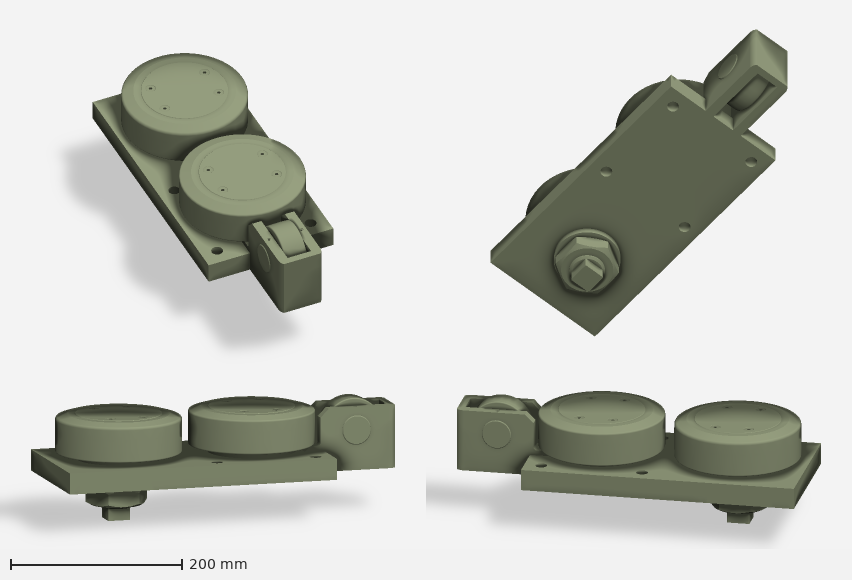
import cadquery as cq
import math

PLATE_LENGTH = 325.0
PLATE_WIDTH = 160.0
PLATE_THICKNESS = 25.0
MOUNT_HOLE_DIAMETER = 13.84
MOUNT_HOLE_PITCH = 120.0

ROLLER_SPACING = 162.0
RIGHT_ROLLER_END_DISTANCE = 80.0
RIGHT_ROLLER_X = PLATE_LENGTH - RIGHT_ROLLER_END_DISTANCE
LEFT_ROLLER_X = RIGHT_ROLLER_X - ROLLER_SPACING
ROLLER_DIAMETER = 149.2
CROWN_SAGITTA = 0.4
SHOULDER_Z = 73.7
RING_DIAMETER = 120.0
RING_Z = 77.9
COVER_DIAMETER = 102.5
COVER_TOP_DIAMETER = 101.4
COVER_Z = RING_Z + (COVER_DIAMETER - COVER_TOP_DIAMETER) / 2
LEFT_COLLAR_DIAMETER = 100.0
LEFT_TREAD_Z = 32.3
LEFT_TOP_ROUND = 3.5
LEFT_BOTTOM_ROUND = 2.0
RIGHT_COLLAR_DIAMETER = 103.0
RIGHT_TREAD_Z = 33.5
RIGHT_TOP_ROUND = 2.3
RIGHT_BOTTOM_ROUND = 2.0

SCREW_CIRCLE_RADIUS = 40.0
SCREW_ANGLES = (60, 120, 240, 300)
SCREW_RECESS_DIAMETER = 12.4
SCREW_HEAD_DIAMETER = 11.7
SOCKET_ACROSS_FLATS = 4.0
SOCKET_DEPTH = 2.5
SOCKET_TURN = 30.0

ECCENTRICITY = 3.0
STUD_X = LEFT_ROLLER_X - ECCENTRICITY
WASHER_DIAMETER = 78.0
WASHER_THICKNESS = 8.0
NUT_ACROSS_FLATS = 65.0
NUT_HEIGHT = 21.0
NUT_FACE_DIAMETER = 61.0
NUT_CHAMFER_ANGLE = 30.0
STUD_DIAMETER = 42.0
STUD_END_Z = -32.5
STUD_CHAMFER_HEIGHT = 3.0
STUD_CHAMFER_DEPTH = 2.0
SQUARE_SIZE = 26.8
SQUARE_CHAMFER = 1.0
SQUARE_END_Z = -47.0

FORK_END_X = 413.0
FORK_HEIGHT = 74.5
FORK_WIDTH = 54.0
FORK_SLOT_WIDTH = 30.0
FORK_END_WALL = 8.5
FORK_CORNER_RADIUS = 12.0
FORK_CORNER_RUN = 8.5
FORK_WALL_X = 321.0
FORK_TOP_CHAMFER = 10.0
FOOT_START_X = 302.0
FOOT_Z = 31.0
FOOT_ROUND = 4.0
LOCK_SCREW_DIAMETER = 4.92
LOCK_SCREW_SINK = 0.5
LOCK_SOCKET_ACROSS_FLATS = 2.5
LOCK_SOCKET_DEPTH = 2.0

PIN_X = 365.0
PIN_Z = 47.5
PIN_DIAMETER = 35.0
PIN_BORE_DIAMETER = 35.1
PIN_LENGTH = 56.0
PIN_CHAMFER = 1.0
SIDE_ROLLER_DIAMETER = 72.0
SIDE_ROLLER_WIDTH = 28.0
SIDE_ROLLER_ROUND = 1.5


def make_plate():
    plate = cq.Workplane("XY").box(PLATE_LENGTH, PLATE_WIDTH, PLATE_THICKNESS, centered=(False, True, False))
    return (
        plate.faces(">Z")
        .workplane(origin=(RIGHT_ROLLER_X, 0, PLATE_THICKNESS))
        .rect(MOUNT_HOLE_PITCH, MOUNT_HOLE_PITCH, forConstruction=True)
        .vertices()
        .hole(MOUNT_HOLE_DIAMETER)
    )


def make_main_roller(x, collar_diameter, tread_z, top_round, bottom_round):
    """Collar, crowned tread, conical shoulder and raised cover, turned about a vertical axis."""
    outer = ROLLER_DIAMETER / 2
    tread_edge = outer - CROWN_SAGITTA
    ring_radius = RING_DIAMETER / 2
    slope = math.atan2(RING_Z - SHOULDER_Z, tread_edge - ring_radius)
    tangent = top_round * math.tan((math.pi / 2 - slope) / 2)
    tread_low = tread_z + bottom_round
    tread_high = SHOULDER_Z - tangent
    cone_start = (tread_edge - tangent * math.cos(slope), SHOULDER_Z + tangent * math.sin(slope))
    profile = (
        cq.Workplane("XZ")
        .moveTo(0, PLATE_THICKNESS)
        .lineTo(collar_diameter / 2, PLATE_THICKNESS)
        .lineTo(collar_diameter / 2, tread_z)
        .lineTo(tread_edge - bottom_round, tread_z)
        .radiusArc((tread_edge, tread_low), -bottom_round)
        .threePointArc((outer, (tread_low + tread_high) / 2), (tread_edge, tread_high))
        .radiusArc(cone_start, -top_round)
        .lineTo(ring_radius, RING_Z)
        .lineTo(COVER_DIAMETER / 2, RING_Z)
        .lineTo(COVER_TOP_DIAMETER / 2, COVER_Z)
        .lineTo(0, COVER_Z)
        .close()
    )
    roller = profile.revolve(360, (0, 0, 0), (0, 1, 0))
    for angle in SCREW_ANGLES:
        screw_x = SCREW_CIRCLE_RADIUS * math.cos(math.radians(angle))
        screw_y = SCREW_CIRCLE_RADIUS * math.sin(math.radians(angle))
        roller = roller.cut(make_screw_recess().translate((screw_x, screw_y, COVER_Z)))
    return roller.translate((x, 0, 0))


def make_screw_recess():
    """Countersink rim and hexagon socket of a sunk screw head, below z = 0."""
    sink = (SCREW_RECESS_DIAMETER - SCREW_HEAD_DIAMETER) / 2
    rim = cq.Workplane("XY").circle(SCREW_RECESS_DIAMETER / 2).workplane(offset=-sink)
    rim = rim.circle(SCREW_HEAD_DIAMETER / 2).loft()
    socket = cq.Workplane("XY").polygon(6, SOCKET_ACROSS_FLATS, circumscribed=True)
    socket = socket.extrude(-sink - SOCKET_DEPTH).rotate((0, 0, 0), (0, 0, 1), SOCKET_TURN)
    return rim.union(socket)


def make_nut():
    """Hexagon nut with both ends turned down to a round face, corners along X."""
    corner_radius = NUT_ACROSS_FLATS / math.sqrt(3)
    face_radius = NUT_FACE_DIAMETER / 2
    drop = (corner_radius - face_radius) * math.tan(math.radians(NUT_CHAMFER_ANGLE))
    turned = (
        cq.Workplane("XZ")
        .polyline(
            [
                (0, 0),
                (face_radius, 0),
                (corner_radius, -drop),
                (corner_radius, drop - NUT_HEIGHT),
                (face_radius, -NUT_HEIGHT),
                (0, -NUT_HEIGHT),
            ]
        )
        .close()
        .revolve(360, (0, 0, 0), (0, 1, 0))
    )
    hexagon = cq.Workplane("XY").polygon(6, 2 * corner_radius).extrude(-NUT_HEIGHT)
    return hexagon.intersect(turned)


def make_stud():
    washer = cq.Workplane("XY").circle(WASHER_DIAMETER / 2).extrude(-WASHER_THICKNESS)
    nut = make_nut().translate((0, 0, -WASHER_THICKNESS))
    thread = cq.Workplane("XY").circle(STUD_DIAMETER / 2).extrude(STUD_END_Z)
    thread = thread.faces("<Z").chamfer(STUD_CHAMFER_DEPTH, STUD_CHAMFER_HEIGHT)
    square = cq.Workplane("XY").rect(SQUARE_SIZE, SQUARE_SIZE).extrude(SQUARE_END_Z)
    square = square.edges("|Z").chamfer(SQUARE_CHAMFER)
    return washer.union(nut).union(thread).union(square).translate((STUD_X, 0, 0))


def make_fork_outline():
    """Prism of the fork's plan outline, with end corners eased by arcs tangent to the cheeks."""
    half = FORK_WIDTH / 2
    arc_start = FORK_END_X - FORK_CORNER_RUN
    drop = FORK_CORNER_RADIUS - math.sqrt(FORK_CORNER_RADIUS**2 - FORK_CORNER_RUN**2)
    return (
        cq.Workplane("XY")
        .moveTo(FOOT_START_X, -half)
        .lineTo(arc_start, -half)
        .radiusArc((FORK_END_X, drop - half), -FORK_CORNER_RADIUS)
        .lineTo(FORK_END_X, half - drop)
        .radiusArc((arc_start, half), -FORK_CORNER_RADIUS)
        .lineTo(FOOT_START_X, half)
        .close()
        .extrude(FORK_HEIGHT)
    )


def make_lock_screw_recess():
    """Round sink and hexagon socket of a set screw, below z = 0."""
    sink = cq.Workplane("XY").circle(LOCK_SCREW_DIAMETER / 2).extrude(-LOCK_SCREW_SINK)
    socket = cq.Workplane("XY").polygon(6, LOCK_SOCKET_ACROSS_FLATS, circumscribed=True)
    return sink.union(socket.extrude(-LOCK_SCREW_SINK - LOCK_SOCKET_DEPTH))


def make_fork():
    """U-shaped fork whose cheeks reach over the plate with a low foot."""
    foot_run = FOOT_Z - PLATE_THICKNESS
    side = (
        cq.Workplane("XZ", origin=(0, FORK_WIDTH / 2, 0))
        .moveTo(FOOT_START_X, PLATE_THICKNESS)
        .lineTo(FOOT_START_X + foot_run, FOOT_Z)
        .lineTo(FORK_WALL_X - FOOT_ROUND, FOOT_Z)
        .radiusArc((FORK_WALL_X, FOOT_Z + FOOT_ROUND), -FOOT_ROUND)
        .lineTo(FORK_WALL_X, FORK_HEIGHT - FORK_TOP_CHAMFER)
        .lineTo(FORK_WALL_X + FORK_TOP_CHAMFER, FORK_HEIGHT)
        .lineTo(FORK_END_X, FORK_HEIGHT)
        .lineTo(FORK_END_X, 0)
        .lineTo(PLATE_LENGTH, 0)
        .lineTo(PLATE_LENGTH, PLATE_THICKNESS)
        .close()
    )
    fork = side.extrude(FORK_WIDTH).intersect(make_fork_outline())
    slot_end = FORK_END_X - FORK_END_WALL
    slot = cq.Workplane("XY").box(
        slot_end - FOOT_START_X, FORK_SLOT_WIDTH, FORK_HEIGHT, centered=(False, True, False)
    )
    bore = cq.Workplane("XZ", origin=(PIN_X, 0, PIN_Z)).circle(PIN_BORE_DIAMETER / 2)
    bore = bore.extrude(FORK_WIDTH, both=True)
    cheek_y = (FORK_WIDTH + FORK_SLOT_WIDTH) / 4
    for y in (-cheek_y, cheek_y):
        fork = fork.cut(make_lock_screw_recess().translate((PIN_X, y, FORK_HEIGHT)))
    return fork.cut(slot.translate((FOOT_START_X, 0, 0))).cut(bore)


def make_side_roller():
    """Crowned roller and its protruding pin, turned about an axis along Y."""
    outer = SIDE_ROLLER_DIAMETER / 2
    half_width = SIDE_ROLLER_WIDTH / 2
    tread_half = half_width - SIDE_ROLLER_ROUND
    edge = outer - CROWN_SAGITTA
    roller = (
        cq.Workplane("XY")
        .moveTo(0, -half_width)
        .lineTo(edge - SIDE_ROLLER_ROUND, -half_width)
        .radiusArc((edge, -tread_half), -SIDE_ROLLER_ROUND)
        .threePointArc((outer, 0), (edge, tread_half))
        .radiusArc((edge - SIDE_ROLLER_ROUND, half_width), -SIDE_ROLLER_ROUND)
        .lineTo(0, half_width)
        .close()
        .revolve(360, (0, 0, 0), (0, 1, 0))
    )
    pin = cq.Workplane("XZ").circle(PIN_DIAMETER / 2).extrude(PIN_LENGTH / 2, both=True)
    pin = pin.faces("<Y or >Y").chamfer(PIN_CHAMFER)
    return roller.union(pin).translate((PIN_X, 0, PIN_Z))


left_roller = make_main_roller(
    LEFT_ROLLER_X, LEFT_COLLAR_DIAMETER, LEFT_TREAD_Z, LEFT_TOP_ROUND, LEFT_BOTTOM_ROUND
)
right_roller = make_main_roller(
    RIGHT_ROLLER_X, RIGHT_COLLAR_DIAMETER, RIGHT_TREAD_Z, RIGHT_TOP_ROUND, RIGHT_BOTTOM_ROUND
)
carriage = make_plate().union(left_roller).union(right_roller).union(make_stud()).union(make_fork())
side_roller = make_side_roller()

result = cq.Compound.makeCompound([carriage.val(), side_roller.val()])